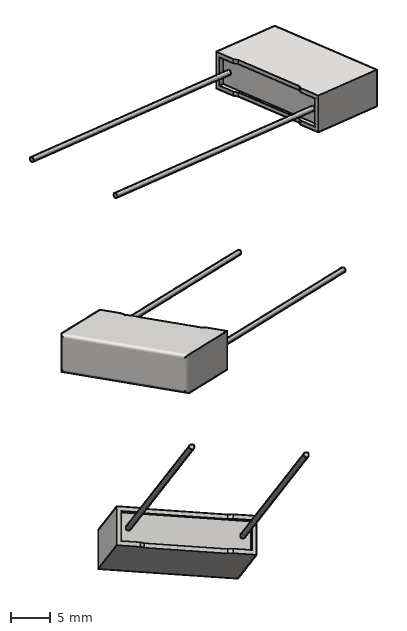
import cadquery as cq

total_length = 46.1
case_width = 18.3
case_length = 10.95
case_height = 5.2

wall = 0.6
back_fillet = 0.45
notch_depth = 0.28
notch_mouth_inset = 3.1
notch_floor_inset = 3.7

fill_recess = 0.7

lead_diameter = 0.7
lead_pitch = 15.0

cavity_width = case_width - 2 * wall
cavity_height = case_height - 2 * wall
cavity_length = case_length - wall
lead_tip_y = case_length - total_length
lead_length = fill_recess - lead_tip_y


def block(width, length, height, start_y):
    """Box centred on X and Z, running toward +Y from start_y."""
    return cq.Workplane("XY").box(width, length, height, centered=(True, False, True)).translate((0, start_y, 0))


def make_notch():
    """Shallow trapezoidal relief across both long walls at the open rim."""
    mouth_x = case_width / 2 - notch_mouth_inset
    floor_x = case_width / 2 - notch_floor_inset
    return (
        cq.Workplane("XY")
        .polyline([(-mouth_x, 0), (mouth_x, 0), (floor_x, notch_depth), (-floor_x, notch_depth)])
        .close()
        .extrude(case_height / 2, both=True)
    )


def make_case():
    """Open box with rounded edges around its closed end."""
    outer = block(case_width, case_length, case_height, 0).faces(">Y").edges().fillet(back_fillet)
    cavity = block(cavity_width, cavity_length, cavity_height, 0)
    return outer.cut(cavity).cut(make_notch())


def make_fill():
    """Potting block filling the cavity up to the recessed face."""
    return block(cavity_width, cavity_length - fill_recess, cavity_height, fill_recess)


def make_lead(x):
    """Straight round wire standing on the face of the potting block."""
    return (
        cq.Workplane("XZ", origin=(x, fill_recess, 0))
        .circle(lead_diameter / 2)
        .extrude(lead_length)
    )


case = make_case()
fill = make_fill()
leads = [make_lead(side * lead_pitch / 2) for side in (-1, 1)]

result = cq.Compound.makeCompound([case.val(), fill.val(), *[lead.val() for lead in leads]])